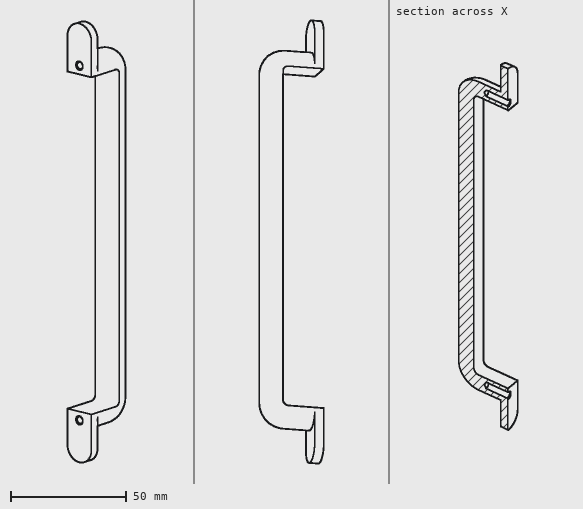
import cadquery as cq
import math

height = 198.0
depth = 27.0
width = 13.9

plate_thickness = 4.2
plate_length = 23.0

grip_thickness = 8.5
flat_side = 2.2
bend_inner_radius = 2.4

hole_diameter = 3.2
hole_depth = 11.9
hole_inset = 19.0
drill_tip_angle = 118.0
mouth_diameter = 4.0

half_width = width / 2
half_height = height / 2
plate_inner_z = half_height - plate_length
grip_inner_y = depth - grip_thickness


def make_grip():
    """Sweep the D-shaped section along the inner edge of the U-shaped handle."""
    bend_y = grip_inner_y - bend_inner_radius
    bend_z = plate_inner_z - bend_inner_radius
    diagonal = math.sqrt(0.5) * bend_inner_radius
    path = (
        cq.Workplane("YZ")
        .moveTo(0, plate_inner_z)
        .lineTo(bend_y, plate_inner_z)
        .threePointArc((bend_y + diagonal, bend_z + diagonal), (grip_inner_y, bend_z))
        .lineTo(grip_inner_y, -bend_z)
        .threePointArc((bend_y + diagonal, -bend_z - diagonal), (bend_y, -plate_inner_z))
        .lineTo(0, -plate_inner_z)
    )
    shoulder_z = plate_inner_z + flat_side
    section = (
        cq.Workplane("XZ")
        .moveTo(-half_width, plate_inner_z)
        .lineTo(-half_width, shoulder_z)
        .threePointArc((0, plate_inner_z + grip_thickness), (half_width, shoulder_z))
        .lineTo(half_width, plate_inner_z)
        .close()
    )
    return section.sweep(path)


def make_plate(side):
    """Build the upper (side = 1) or lower (side = -1) round-ended plate."""
    round_start_z = half_height - half_width
    return (
        cq.Workplane("XZ")
        .moveTo(-half_width, side * plate_inner_z)
        .lineTo(-half_width, side * round_start_z)
        .threePointArc((0, side * half_height), (half_width, side * round_start_z))
        .lineTo(half_width, side * plate_inner_z)
        .close()
        .extrude(-plate_thickness)
    )


def make_hole(side):
    """Build the drilled-hole cutter with its chamfered mouth and conical tip."""
    radius = hole_diameter / 2
    mouth_radius = mouth_diameter / 2
    tip_length = radius / math.tan(math.radians(drill_tip_angle / 2))
    profile = [
        (0, 0),
        (mouth_radius, 0),
        (radius, mouth_radius - radius),
        (radius, hole_depth),
        (0, hole_depth + tip_length),
    ]
    cutter = cq.Workplane("XY").polyline(profile).close().revolve(360, (0, 0), (0, 1))
    return cutter.translate((0, 0, side * (half_height - hole_inset)))


result = make_grip()
for side in (1, -1):
    result = result.union(make_plate(side))
for side in (1, -1):
    result = result.cut(make_hole(side))